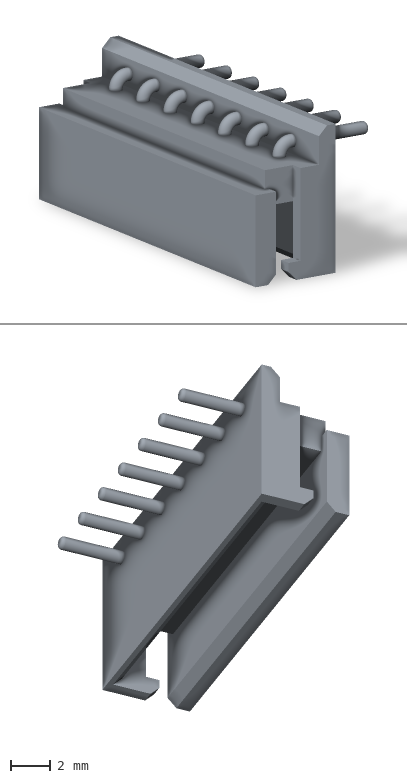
import cadquery as cq


length = 19.9
height = 7.9
depth = 4.9
chamfer = 0.5

wall_depth = 2.15
rib_depth = 1.01
ledge_height = 5.9

lip_reach = 0.74
lip_height = 0.98

end_inset = 0.68
inner_length = length - 2 * end_inset
bridge_bottom = 3.98
bridge_depth = 3.88

plate_thickness = 1.25
plate_height = 4.88
plate_inner_face = depth - plate_thickness

cavity_back = 0.8

pin_count = 7
pin_span = 15.0
pin_pitch = pin_span / (pin_count - 1)
pin_diameter = 0.7
pin_length = 3.5
tip_rounding = 0.2
bend_radius = 0.68
bend_start = 1.13
bend_clearance = 0.04
bend_foot = ledge_height + bend_clearance
pin_height = bend_foot + bend_radius
pin_embedding = 0.4


def extrude_profile(points, width):
    """Extrude a (y, z) outline along X, centred on X = 0."""
    return cq.Workplane("YZ").polyline(points).close().extrude(width / 2, both=True)


def make_back_wall():
    lip_front = wall_depth + lip_reach
    outline = [
        (0, 0),
        (0, height),
        (-rib_depth + chamfer, height),
        (-rib_depth, height - chamfer),
        (-rib_depth, ledge_height),
        (-wall_depth, ledge_height),
        (-wall_depth, lip_height),
        (-lip_front, lip_height),
        (-lip_front, chamfer),
        (-lip_front + chamfer, 0),
    ]
    return extrude_profile(outline, length)


def make_cavity():
    """Space between the end posts, with a lead-in chamfer along its back edge."""
    outline = [
        (-cavity_back + chamfer, 0),
        (-cavity_back, chamfer),
        (-cavity_back, bridge_bottom),
        (-plate_inner_face, bridge_bottom),
        (-plate_inner_face, 0),
    ]
    return extrude_profile(outline, inner_length)


def make_bridge():
    outline = [
        (-cavity_back, bridge_bottom),
        (-cavity_back, ledge_height),
        (-bridge_depth, ledge_height),
        (-bridge_depth, bridge_bottom),
    ]
    return extrude_profile(outline, inner_length)


def make_front_plate():
    outline = [
        (-depth, 0),
        (-depth, plate_height),
        (-plate_inner_face, plate_height),
        (-plate_inner_face, chamfer),
        (-plate_inner_face - chamfer, 0),
    ]
    return extrude_profile(outline, length)


def make_pin(x):
    """Pin with a rounded tip behind the housing and a quarter bend down into the bridge."""
    radius = pin_diameter / 2
    straight = (
        cq.Workplane("XZ", origin=(x, pin_length, pin_height))
        .circle(radius)
        .extrude(pin_length + bend_start)
        .faces(">Y")
        .edges()
        .fillet(tip_rounding)
    )
    bend = (
        cq.Workplane("XZ", origin=(x, -bend_start, pin_height))
        .circle(radius)
        .revolve(90, (-0.2, -bend_radius, 0), (0.2, -bend_radius, 0))
    )
    root = (
        cq.Workplane("XY", origin=(x, -bend_start - bend_radius, bend_foot))
        .circle(radius)
        .extrude(-pin_embedding)
    )
    return straight.union(bend).union(root)


result = make_back_wall().cut(make_cavity()).union(make_bridge()).union(make_front_plate())
for index in range(pin_count):
    result = result.union(make_pin(-pin_span / 2 + index * pin_pitch))